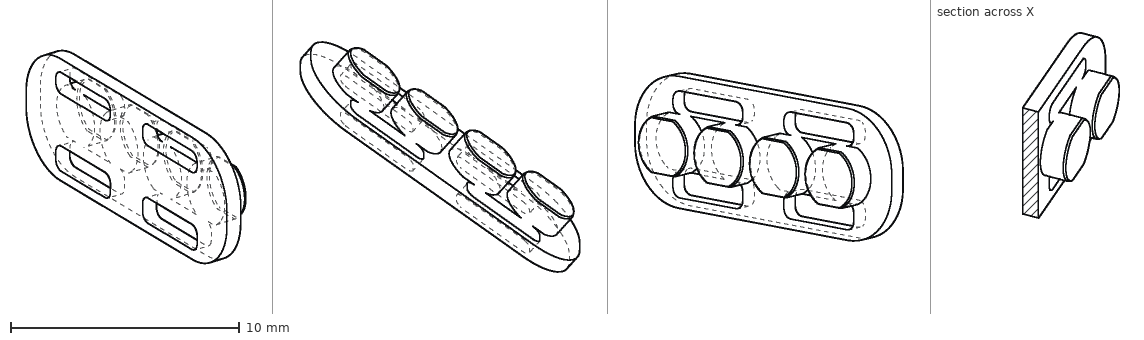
import cadquery as cq
import math

plate_length = 15.06
plate_height = 5.92
plate_thickness = 0.75
plate_corner_radius = 2.58

pitch = 3.25
boss_count = 4
boss_diameter = 2.85
boss_across_flats = 2.53
boss_height = 1.19
boss_edge_radius = 0.06
boss_chamfer_inset = 0.05
boss_chamfer_depth = 0.1

slot_length = 4.08
slot_corner_radius = 0.4
upper_slot_height = 1.04
lower_slot_height = 1.22
slot_offset = boss_across_flats / 2
slot_centers_x = (-pitch, pitch)


def rounded_block(length, height, corner_radius):
    """Block as thick as the plate, with its four edges along Y rounded."""
    block = cq.Workplane("XY").box(length, plate_thickness, height, centered=(True, False, True))
    return block.edges("|Y").fillet(corner_radius)


def slot(center_x, center_z, height):
    """Cutter for one round-cornered slot through the plate."""
    return rounded_block(slot_length, height, slot_corner_radius).translate((center_x, 0, center_z))


def boss(center_x):
    """Double-flat stud on the back face, with a chamfer around its free end."""
    radius = boss_diameter / 2
    half_height = boss_across_flats / 2
    half_flat = math.sqrt(radius**2 - half_height**2)
    stud = (
        cq.Workplane("XZ", origin=(center_x, plate_thickness, 0))
        .moveTo(-half_flat, half_height)
        .lineTo(half_flat, half_height)
        .threePointArc((radius, 0), (half_flat, -half_height))
        .lineTo(-half_flat, -half_height)
        .threePointArc((-radius, 0), (-half_flat, half_height))
        .close()
        .extrude(-boss_height)
    )
    stud = stud.edges("|Y").fillet(boss_edge_radius)
    return stud.faces(">Y").chamfer(boss_chamfer_depth, boss_chamfer_inset)


result = rounded_block(plate_length, plate_height, plate_corner_radius)

upper_slot_z = slot_offset + upper_slot_height / 2
lower_slot_z = -slot_offset - lower_slot_height / 2
for slot_x in slot_centers_x:
    result = result.cut(slot(slot_x, upper_slot_z, upper_slot_height))
    result = result.cut(slot(slot_x, lower_slot_z, lower_slot_height))

for index in range(boss_count):
    boss_x = (index - (boss_count - 1) / 2) * pitch
    result = result.union(boss(boss_x))